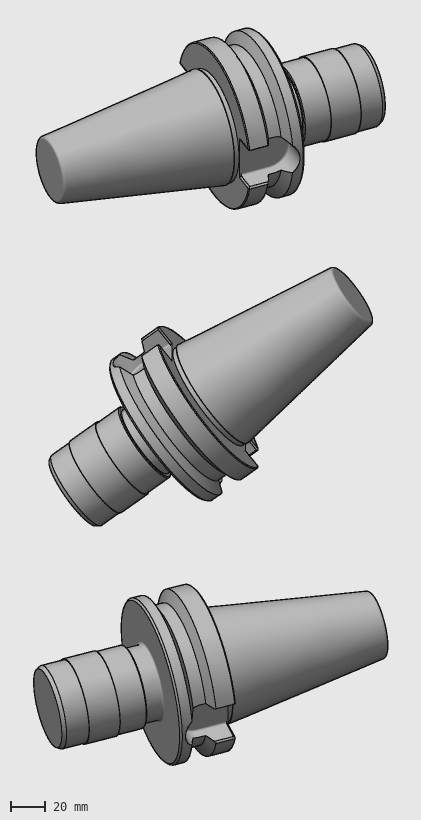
import cadquery as cq
import math


gauge_radius = 35.0
taper_rate = 7 / 24
taper_end = -101.9
taper_end_round = 2.0
relief_radius = 34.4

flange_radius = 50.0
flange_front = 3.0
flange_back = 38.0
groove_radius = 42.7
groove_front = 19.0
groove_back = 26.8
groove_flare = 3.7
front_rim_chamfer = 0.6
back_rim_chamfer = 1.2

neck_radius = 22.5
neck_fillet = 1.6
sleeve_radius = 25.0
sleeve_front = 49.2
sleeve_back = 101.5
sleeve_front_chamfer = 0.6
sleeve_back_chamfer = 2.5
sleeve_back_bevel = 1.5
band_radius = 25.6
band_front = 66.0
band_back = 85.2

slot_half_width = 12.8
slot_floor = 35.2
slot_arc_center = flange_front + 19.0
slot_floor_fillet = 1.2
slot_edge_chamfer = 1.0
cut_clearance = 2.0


def turned_body():
    taper_end_radius = gauge_radius + taper_end * taper_rate / 2
    collar_end = groove_front - groove_flare
    rim_start = groove_back + groove_flare
    fillet_mid = neck_fillet * (1 - math.sqrt(0.5))
    profile = (
        cq.Workplane("XY")
        .moveTo(0, taper_end)
        .lineTo(taper_end_radius, taper_end)
        .lineTo(gauge_radius, 0)
        .lineTo(relief_radius, 0)
        .lineTo(relief_radius, flange_front)
        .lineTo(flange_radius - front_rim_chamfer, flange_front)
        .lineTo(flange_radius, flange_front + front_rim_chamfer)
        .lineTo(flange_radius, collar_end)
        .lineTo(groove_radius, groove_front)
        .lineTo(groove_radius, groove_back)
        .lineTo(flange_radius, rim_start)
        .lineTo(flange_radius, flange_back - back_rim_chamfer)
        .lineTo(flange_radius - back_rim_chamfer, flange_back)
        .lineTo(neck_radius + neck_fillet, flange_back)
        .threePointArc(
            (neck_radius + fillet_mid, flange_back + fillet_mid),
            (neck_radius, flange_back + neck_fillet),
        )
        .lineTo(neck_radius, sleeve_front)
        .lineTo(sleeve_radius - sleeve_front_chamfer, sleeve_front)
        .lineTo(sleeve_radius, sleeve_front + sleeve_front_chamfer)
        .lineTo(sleeve_radius, band_front)
        .lineTo(band_radius, band_front)
        .lineTo(band_radius, band_back)
        .lineTo(sleeve_radius, band_back)
        .lineTo(sleeve_radius, sleeve_back - sleeve_back_chamfer)
        .lineTo(sleeve_radius - sleeve_back_bevel, sleeve_back)
        .lineTo(0, sleeve_back)
        .close()
    )
    body = profile.revolve(360, (0, 0, 0), (0, 1, 0))
    return body.faces("<Y").edges().fillet(taper_end_round)


def slot_cutter():
    """Round-ended +X slot with a filleted floor and chamfered collar edges."""
    depth = flange_radius + cut_clearance - slot_floor
    open_end = flange_front - cut_clearance
    slot = (
        cq.Workplane("YZ", origin=(slot_floor, 0, 0))
        .moveTo(open_end, -slot_half_width)
        .lineTo(slot_arc_center, -slot_half_width)
        .threePointArc((slot_arc_center + slot_half_width, 0), (slot_arc_center, slot_half_width))
        .lineTo(open_end, slot_half_width)
        .close()
        .extrude(depth)
    )
    slot = slot.faces("<X").edges("not(<Y)").fillet(slot_floor_fillet)

    wide = slot_half_width + slot_edge_chamfer
    face_chamfer = (
        cq.Workplane("YZ", origin=(slot_floor, 0, 0))
        .polyline([
            (flange_front, -wide),
            (flange_front + slot_edge_chamfer, -slot_half_width),
            (flange_front + slot_edge_chamfer, slot_half_width),
            (flange_front, wide),
        ])
        .close()
        .extrude(depth)
    )

    mouth = math.sqrt(flange_radius**2 - wide**2)
    mouth_flare = (
        cq.Workplane("XZ", origin=(0, flange_front, 0))
        .polyline([
            (mouth - slot_edge_chamfer, -slot_half_width),
            (mouth, -wide),
            (flange_radius + cut_clearance, -wide),
            (flange_radius + cut_clearance, wide),
            (mouth, wide),
            (mouth - slot_edge_chamfer, slot_half_width),
        ])
        .close()
        .extrude(flange_front - groove_front)
    )
    return slot.union(face_chamfer).union(mouth_flare)


result = turned_body()
for angle in (0, 180):
    result = result.cut(slot_cutter().rotate((0, 0, 0), (0, 1, 0), angle))